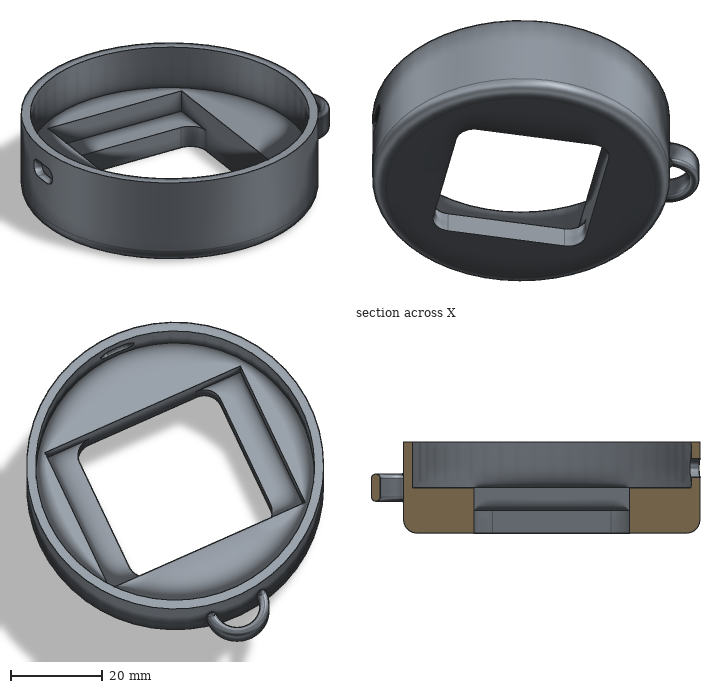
import cadquery as cq

case_diameter = 65.0
case_height = 20.0
wall_thickness = 2.0
bottom_edge_radius = 3.0
cavity_depth = 10.0

window_size = 34.0
window_corner_radius = 4.0
recess_length = 47.0
recess_depth = 5.0

slot_length = 8.0
slot_height = 4.0
slot_center_z = 14.3

loop_outer_radius = 7.0
loop_thickness = 2.0
loop_height = 6.0
loop_edge_radius = 0.99
loop_center_z = case_height / 2

case_radius = case_diameter / 2
cavity_radius = case_radius - wall_thickness
cavity_floor_z = case_height - cavity_depth
recess_floor_z = cavity_floor_z - recess_depth


def make_body():
    """Solid disc with a rounded bottom edge."""
    disc = cq.Workplane("XY").circle(case_radius).extrude(case_height)
    return disc.faces("<Z").edges().fillet(bottom_edge_radius)


def make_loop_ring():
    """Square-edged ring centred on the disc's back edge, so about half of it is buried in the disc."""
    return (
        cq.Workplane("XY", origin=(0, case_radius, loop_center_z - loop_height / 2))
        .circle(loop_outer_radius)
        .circle(loop_outer_radius - loop_thickness)
        .extrude(loop_height)
    )


def add_loop(body):
    """Join the loop to the body and round the rims of its flat faces, also along the wall."""
    joined = body.union(make_loop_ring())
    loop_flats = joined.faces("|Z").filter(lambda face: face.Center().y > case_radius)
    rims = loop_flats.edges().sort(lambda edge: edge.Center().y)
    return rims.fillet(loop_edge_radius)


def make_cavity():
    """Round cavity open at the top."""
    return (
        cq.Workplane("XY", origin=(0, 0, cavity_floor_z))
        .circle(cavity_radius)
        .extrude(cavity_depth)
    )


def make_recess():
    """Rectangular recess sunk into the cavity floor."""
    return (
        cq.Workplane("XY", origin=(0, 0, recess_floor_z))
        .rect(recess_length, window_size)
        .extrude(recess_depth)
    )


def make_window():
    """Square opening with rounded corners, from the recess floor down through the bottom."""
    return (
        cq.Workplane("XY")
        .rect(window_size, window_size)
        .extrude(recess_floor_z)
        .edges("|Z")
        .fillet(window_corner_radius)
    )


def make_slot():
    """Obround cutter running from the centre out through the front wall."""
    return (
        cq.Workplane("XZ", origin=(0, 0, slot_center_z))
        .slot2D(slot_length, slot_height)
        .extrude(case_diameter)
    )


result = add_loop(make_body())
for cutter in (make_cavity(), make_recess(), make_window(), make_slot()):
    result = result.cut(cutter)